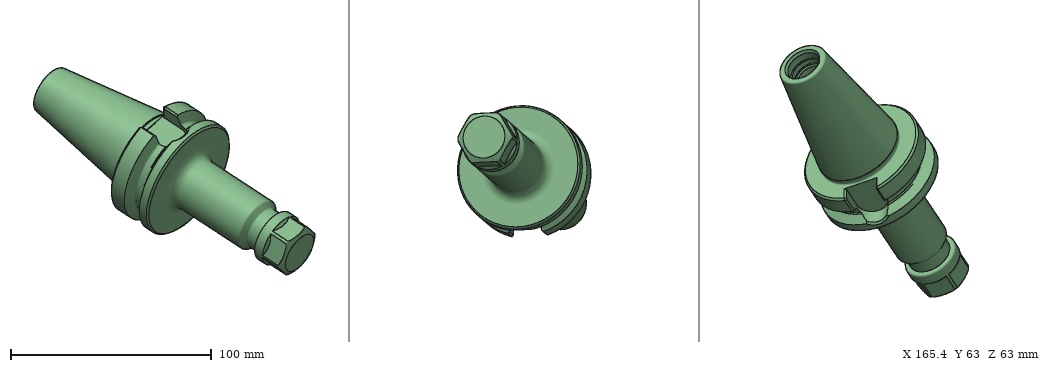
import cadquery as cq
import math


GAUGE_RADIUS = 22.225
TAPER_LENGTH = 65.4
TAPER_SLOPE = 7 / 48
TAIL_FILLET = 1.0

TAPER_END_X = -1.5
RELIEF_START_X = -1.0
RELIEF_RADIUS = 21.7
RELIEF_FILLET = 0.8

FLANGE_RADIUS = 31.5
FLANGE_START_X = 2.0
FLANGE_END_X = 27.0
FLANGE_CHAMFER = 1.0
GROOVE_CENTRE_X = 16.45
GROOVE_MOUTH_WIDTH = 9.95
GROOVE_FLOOR_RADIUS = 26.4
GROOVE_FLANK_ANGLE = 30.0
GROOVE_FILLET = 1.0

SLOT_WIDTH = 16.4
SLOT_FLOOR_Z = 22.7
SLOT_END_X = 22.95
SLOT_CHAMFER = 1.0

SHANK_RADIUS = 14.0
SHANK_FILLET = 5.0
SHANK_END_X = 72.2
SHANK_EDGE_FILLET = 1.4
NECK_RADIUS = 11.15
NECK_FILLET = 0.8

MOUTH_RADIUS = 9.6
PILOT_START_DEPTH = 1.6
PILOT_RADIUS = 8.8
PILOT_DEPTH = 5.5
BORE_RADIUS = 8.2
BORE_DEPTH = 8.6
LAND_RADIUS = 7.6
LAND_DEPTH = 9.0
DRILL_RADIUS = 6.9
DRILL_DEPTH = 28.0
STEP_LENGTH = 0.3
DRILL_POINT_ANGLE = 118.0

NUT_START_X = 81.8
NUT_END_X = 100.0
NUT_RADIUS = 14.0
NUT_REAR_FILLET = 1.2
HEX_WIDTH = 25.0
HEX_START_X = 87.7
NUT_TIP_RADIUS = 10.7
NUT_TIP_CONE_ANGLE = 60.0
NUT_TIP_FILLET = 1.1


def taper_radius(x):
    return GAUGE_RADIUS + TAPER_SLOPE * x


def revolve_about_x(profile):
    return profile.close().revolve(360, (0, 0, 0), (1, 0, 0))


def revolve_section(section):
    return cq.Workplane("XY").placeSketch(section).revolve(360, (0, 0, 0), (1, 0, 0))


def make_root_fillet(face_x, radius, fillet):
    """Solid with a concave fillet from a face down to a cylinder; a negative fillet points to -X."""
    size = abs(fillet)
    bulge = 1 - math.sqrt(0.5)
    profile = (
        cq.Workplane("XY")
        .moveTo(face_x, 0)
        .lineTo(face_x, radius + size)
        .threePointArc((face_x + fillet * bulge, radius + size * bulge), (face_x + fillet, radius))
        .lineTo(face_x + fillet, 0)
    )
    return revolve_about_x(profile)


def nearest_to(x, radius):
    return cq.selectors.NearestToPointSelector((x, radius, 0))


def make_taper():
    tail_radius = taper_radius(-TAPER_LENGTH)
    section = (
        cq.Sketch()
        .polygon(
            [
                (-TAPER_LENGTH, 0),
                (-TAPER_LENGTH, tail_radius),
                (TAPER_END_X, taper_radius(TAPER_END_X)),
                (RELIEF_START_X, RELIEF_RADIUS),
                (FLANGE_START_X, RELIEF_RADIUS),
                (FLANGE_START_X, 0),
                (-TAPER_LENGTH, 0),
            ]
        )
        .vertices(nearest_to(-TAPER_LENGTH, tail_radius))
        .fillet(TAIL_FILLET)
    )
    return revolve_section(section).union(make_root_fillet(FLANGE_START_X, RELIEF_RADIUS, -RELIEF_FILLET))


def make_flange():
    length = FLANGE_END_X - FLANGE_START_X
    return (
        cq.Workplane("YZ", origin=(FLANGE_START_X, 0, 0))
        .circle(FLANGE_RADIUS)
        .extrude(length)
        .faces("<X or >X")
        .chamfer(FLANGE_CHAMFER)
    )


def make_v_groove():
    half_mouth = GROOVE_MOUTH_WIDTH / 2
    depth = FLANGE_RADIUS - GROOVE_FLOOR_RADIUS
    half_floor = half_mouth - depth * math.tan(math.radians(GROOVE_FLANK_ANGLE))
    section = (
        cq.Sketch()
        .polygon(
            [
                (GROOVE_CENTRE_X - half_mouth, FLANGE_RADIUS),
                (GROOVE_CENTRE_X - half_floor, GROOVE_FLOOR_RADIUS),
                (GROOVE_CENTRE_X + half_floor, GROOVE_FLOOR_RADIUS),
                (GROOVE_CENTRE_X + half_mouth, FLANGE_RADIUS),
                (GROOVE_CENTRE_X - half_mouth, FLANGE_RADIUS),
            ]
        )
        .vertices("<Y")
        .fillet(GROOVE_FILLET)
    )
    return revolve_section(section)


def make_drive_slot():
    """Upper drive slot: open toward the taper, with a full round end."""
    half_width = SLOT_WIDTH / 2
    arc_centre_x = SLOT_END_X - half_width
    open_x = FLANGE_START_X - SLOT_CHAMFER
    return (
        cq.Workplane("XY", origin=(0, 0, SLOT_FLOOR_Z))
        .moveTo(open_x, -half_width)
        .lineTo(arc_centre_x, -half_width)
        .threePointArc((SLOT_END_X, 0), (arc_centre_x, half_width))
        .lineTo(open_x, half_width)
        .close()
        .extrude(FLANGE_RADIUS - SLOT_FLOOR_Z)
    )


def cut_upper_slot(body):
    """Cut one slot, then break its edges on the flange face and on the outer rim."""
    margin = 0.1
    reach_y = SLOT_WIDTH / 2 + margin
    rim_z = FLANGE_RADIUS - 2 * FLANGE_CHAMFER
    start_x = FLANGE_START_X - margin
    face_edges = cq.selectors.BoxSelector(
        (start_x, -reach_y, SLOT_FLOOR_Z + margin),
        (FLANGE_START_X + margin, reach_y, rim_z),
    )
    rim_edges = cq.selectors.BoxSelector(
        (start_x, -reach_y, rim_z),
        (SLOT_END_X + margin, reach_y, FLANGE_RADIUS + margin),
    )
    return body.cut(make_drive_slot()).edges(face_edges + rim_edges).chamfer(SLOT_CHAMFER)


def cut_drive_slots(body):
    for _ in range(2):
        body = cut_upper_slot(body).rotate((0, 0, 0), (1, 0, 0), 180)
    return body


def make_shank():
    """Shank and neck, with a concave fillet at the flange and a 45 degree shoulder."""
    shoulder_end_x = SHANK_END_X + SHANK_RADIUS - NECK_RADIUS
    section = (
        cq.Sketch()
        .polygon(
            [
                (FLANGE_END_X, 0),
                (FLANGE_END_X, SHANK_RADIUS),
                (SHANK_END_X, SHANK_RADIUS),
                (shoulder_end_x, NECK_RADIUS),
                (NUT_START_X, NECK_RADIUS),
                (NUT_START_X, 0),
                (FLANGE_END_X, 0),
            ]
        )
        .vertices(nearest_to(SHANK_END_X, SHANK_RADIUS))
        .fillet(SHANK_EDGE_FILLET)
        .reset()
        .vertices(nearest_to(shoulder_end_x, NECK_RADIUS))
        .fillet(NECK_FILLET)
    )
    return revolve_section(section).union(make_root_fillet(FLANGE_END_X, SHANK_RADIUS, SHANK_FILLET))


def make_drawbar_hole():
    point_length = DRILL_RADIUS / math.tan(math.radians(DRILL_POINT_ANGLE / 2))
    profile = (
        cq.Workplane("XY", origin=(-TAPER_LENGTH, 0, 0))
        .moveTo(0, 0)
        .lineTo(0, MOUTH_RADIUS)
        .lineTo(PILOT_START_DEPTH, PILOT_RADIUS)
        .lineTo(PILOT_DEPTH, PILOT_RADIUS)
        .lineTo(PILOT_DEPTH + STEP_LENGTH, BORE_RADIUS)
        .lineTo(BORE_DEPTH, BORE_RADIUS)
        .lineTo(BORE_DEPTH + STEP_LENGTH, LAND_RADIUS)
        .lineTo(LAND_DEPTH + LAND_RADIUS - DRILL_RADIUS, DRILL_RADIUS)
        .lineTo(DRILL_DEPTH, DRILL_RADIUS)
        .lineTo(DRILL_DEPTH + point_length, 0)
    )
    return revolve_about_x(profile)


def make_holder():
    flange = make_flange().cut(make_v_groove())
    body = cut_drive_slots(flange.union(make_taper()))
    return body.union(make_shank()).cut(make_drawbar_hole()).solids()


def make_nut_blank():
    tip_cone_length = (NUT_RADIUS - NUT_TIP_RADIUS) / math.tan(math.radians(NUT_TIP_CONE_ANGLE))
    tip_cone_x = NUT_END_X - tip_cone_length
    section = (
        cq.Sketch()
        .polygon(
            [
                (NUT_START_X, 0),
                (NUT_START_X, NUT_RADIUS),
                (tip_cone_x, NUT_RADIUS),
                (NUT_END_X, NUT_TIP_RADIUS),
                (NUT_END_X, 0),
                (NUT_START_X, 0),
            ]
        )
        .vertices(nearest_to(NUT_START_X, NUT_RADIUS))
        .fillet(NUT_REAR_FILLET)
        .reset()
        .vertices(nearest_to(tip_cone_x, NUT_RADIUS))
        .fillet(NUT_TIP_FILLET)
    )
    return revolve_section(section)


def make_hex_envelope():
    """Hexagonal bar joined to a 45 degree cone that runs the flats out into the collar."""
    corner_diameter = HEX_WIDTH / math.cos(math.radians(30))
    length = NUT_END_X - NUT_START_X
    hex_bar = cq.Workplane("YZ", origin=(NUT_START_X, 0, 0)).polygon(6, corner_diameter).extrude(length)
    cone = (
        cq.Workplane("XY")
        .moveTo(NUT_START_X, 0)
        .lineTo(NUT_START_X, NUT_RADIUS)
        .lineTo(HEX_START_X, NUT_RADIUS)
        .lineTo(HEX_START_X + NUT_RADIUS, 0)
    )
    return hex_bar.union(revolve_about_x(cone))


def make_nut():
    return make_nut_blank().intersect(make_hex_envelope()).solids()


holder = make_holder()
nut = make_nut()

result = cq.Compound.makeCompound([holder.val(), nut.val()])